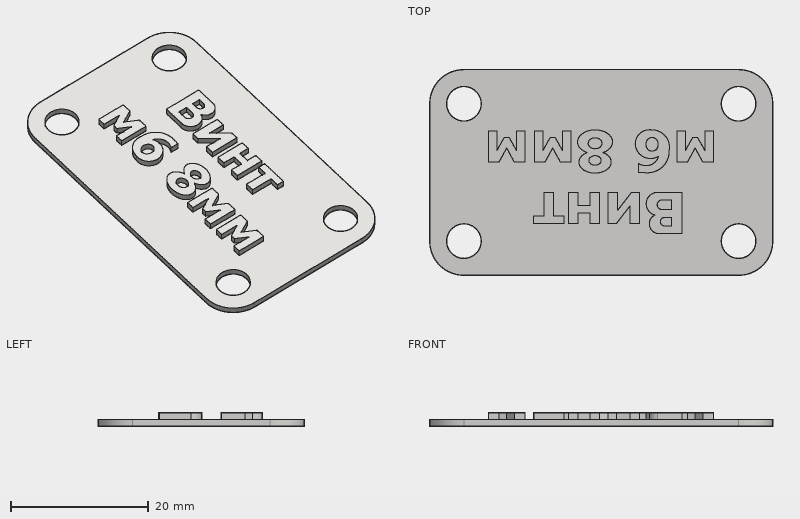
import cadquery as cq

plate_length = 50
plate_width = 30
plate_thickness = 1
corner_radius = 5
hole_diameter = 5
text_height = 1

hole_spacing_x = plate_length - 2 * corner_radius
hole_spacing_y = plate_width - 2 * corner_radius

small_height = 4.55
capital_height = 6
stem = 1.4
bar_thickness = 1.1
cyrillic_m_width = 5.35
cyrillic_i_width = 4.6
cyrillic_n_width = 4.55
cyrillic_t_width = 4.4

size_baseline = -6.05
name_baseline = 2.9
size_starts = (-16.35, -9.9, -1.65, 4.4, 11.1)
name_starts = (-11.75, -5.6, 0.25, 5.45)


def sketch_plane():
    return cq.Workplane("XY")


def polygon(points):
    return sketch_plane().polyline(points).close().extrude(text_height)


def block(left, bottom, width, height):
    base = sketch_plane().rect(width, height, centered=False)
    return base.extrude(text_height).translate((left, bottom, 0))


def oval(center_x, center_y, radius_x, radius_y):
    return sketch_plane().center(center_x, center_y).ellipse(radius_x, radius_y).extrude(text_height)


def round_ended_block(left, bottom, length, height):
    """Block whose right end is a half circle."""
    radius = height / 2
    straight_end = left + length - radius
    return (
        sketch_plane()
        .moveTo(left, bottom)
        .lineTo(straight_end, bottom)
        .threePointArc((left + length, bottom + radius), (straight_end, bottom + height))
        .lineTo(left, bottom + height)
        .close()
        .extrude(text_height)
    )


def cyrillic_m():
    middle = cyrillic_m_width / 2
    leg = 1.25
    valley_half_width = 0.35
    left_half = [
        (middle - valley_half_width, 0.95),
        (leg, 2.85),
        (leg, 0),
        (0, 0),
        (0, small_height),
        (1.55, small_height),
    ]
    right_half = [(cyrillic_m_width - x, y) for x, y in reversed(left_half)]
    return polygon(left_half + [(middle, 2.5)] + right_half)


def cyrillic_i():
    lower_half = [
        (0, 0),
        (1.2, 0),
        (cyrillic_i_width - stem, 2.6),
        (cyrillic_i_width - stem, 0),
        (cyrillic_i_width, 0),
    ]
    upper_half = [(cyrillic_i_width - x, small_height - y) for x, y in lower_half]
    return polygon(lower_half + upper_half)


def cyrillic_n():
    crossbar = block(0, 1.9, cyrillic_n_width, bar_thickness)
    left_stem = block(0, 0, stem, small_height)
    right_stem = block(cyrillic_n_width - stem, 0, stem, small_height)
    return crossbar.union(left_stem).union(right_stem)


def cyrillic_t():
    bar = block(0, small_height - bar_thickness, cyrillic_t_width, bar_thickness)
    return bar.union(block((cyrillic_t_width - stem) / 2, 0, stem, small_height))


def cyrillic_capital_v():
    outline = (
        sketch_plane()
        .lineTo(3.35, 0)
        .threePointArc((5.2, 1.8), (3.95, 3.3))
        .threePointArc((4.75, 4.6), (3.55, capital_height))
        .lineTo(0, capital_height)
        .close()
        .extrude(text_height)
    )
    spine = 1.55
    lower_opening = round_ended_block(spine, 1.1, 2.05, 1.4)
    upper_opening = round_ended_block(spine, 3.65, 1.6, 1.25)
    return outline.cut(lower_opening).cut(upper_opening)


def six():
    tail_end = 4.45
    outline = (
        sketch_plane()
        .moveTo(1.55, 3.7)
        .threePointArc((3.7, 3.8), (4.95, 1.9))
        .threePointArc((4.35, 0.45), (2.55, -0.15))
        .threePointArc((0.8, 0.5), (0, 2.8))
        .threePointArc((0.85, 5.1), (3.35, 6.1))
        .lineTo(tail_end, 6.05)
        .lineTo(tail_end, 4.75)
        .threePointArc((2.6, 4.9), (1.55, 3.7))
        .close()
        .extrude(text_height)
    )
    return outline.cut(oval(2.5, 1.95, 0.9, 1))


def eight():
    middle = 2.55
    lower_bowl = oval(middle, 1.6, 2.55, 1.75)
    upper_bowl = oval(middle, 4.55, 2.35, 1.6)
    lower_opening = oval(middle, 1.8, 1, 0.8)
    upper_opening = oval(middle, 4.3, 0.9, 0.7)
    return lower_bowl.union(upper_bowl).cut(lower_opening).cut(upper_opening)


def add_line(body, characters, starts, baseline):
    """Stand a line of characters on the plate, turned half a turn about Z."""
    for character, start in zip(characters, starts):
        placed = character.translate((start, baseline, plate_thickness))
        body = body.union(placed.rotate((0, 0, 0), (0, 0, 1), 180))
    return body


plate = (
    cq.Workplane("XY")
    .rect(plate_length, plate_width)
    .extrude(plate_thickness)
    .edges("|Z")
    .fillet(corner_radius)
    .faces(">Z")
    .workplane()
    .rect(hole_spacing_x, hole_spacing_y, forConstruction=True)
    .vertices()
    .hole(hole_diameter)
)

size_line = (cyrillic_m(), six(), eight(), cyrillic_m(), cyrillic_m())
name_line = (cyrillic_capital_v(), cyrillic_i(), cyrillic_n(), cyrillic_t())

result = add_line(plate, size_line, size_starts, size_baseline)
result = add_line(result, name_line, name_starts, name_baseline)